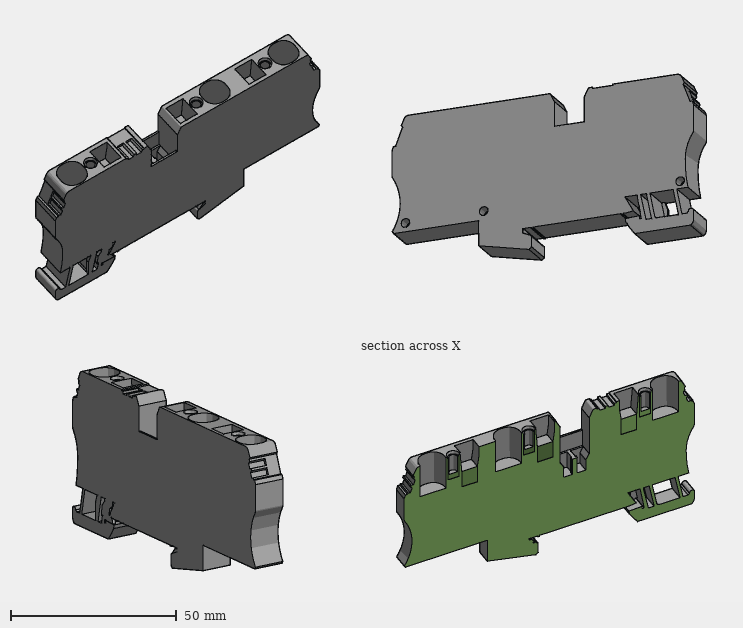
import cadquery as cq
import math

WIDTH = 10.0
HALF_WIDTH = WIDTH / 2
HALF_LENGTH = 49.5
TOP = 24.8
FOOT_BOTTOM = -24.8

SHOULDER_TOP = 14.1
WAIST_TOP = 5.4
LEDGE = -12.4
RAIL_FACE = -17.6
CLIP_TOP = -20.7

END_RADIUS = 1.7
NOTCH_TOP_RADIUS = 0.5
HOOK_RADIUS = 0.6
WAIST_RADIUS = 1.5

MARKER_RECESS = 0.4
MARKER_FACE_TOP = (46.1, 21.2)
MARKER_FACE_BOTTOM = (48.4, 15.4)
GROOVE_START_X = -0.6
GROOVE_WIDTH = 2.2
GROOVE_DEPTH = 0.8
GROOVE_TAPER = 0.5
GROOVE_PITCH = 3.1
END_GROOVE_PITCH = 2.9
FIRST_TOP_GROOVE_Y = -17.9
FIRST_END_GROOVE = 1.8

NOTCH_LEFT = -3.8
NOTCH_RIGHT = -13.6
NOTCH_FLOOR = 14.0
NOTCH_CHAMFER_Y = 1.4
NOTCH_CHAMFER_Z = 2.8
NOTCH_MIDDLE = (NOTCH_LEFT + NOTCH_RIGHT) / 2
MOUTH_WIDTH_X = 8.7
MOUTH_DEPTH = 5.9
SHAFT_WIDTH_X = 7.5
SHAFT_DEPTH = 5.9
SHAFT_TAPER_DEPTH = 2.0
SHAFT_TAPER = 1.2
SHAFT_PARTITION = 1.2
KEY_WIDTH_X = 1.8
KEY_HEIGHT = 0.3

POLES = [(39.6, -1), (13.9, -1), (-39.6, 1)]
SLEEVE_OFFSET = 6.9
POCKET_OFFSET = 12.5

ENTRY_X = 9.0
ENTRY_Y = 8.7
ENTRY_CORNER = 3.9
ENTRY_DEPTH = 11.9

POCKET_X = 7.3
POCKET_CENTRE_X = 0.1
POCKET_Y = 6.3
POCKET_STRAIGHT_DEPTH = 3.2
PUSHER_DEPTH = 7.4
PUSHER_HEIGHT = 5.9
POCKET_TAPER = 0.6

SLEEVE_MOUTH_RADIUS = 2.1
SLEEVE_RADIUS = 1.8
SLEEVE_BORE_RADIUS = 1.4
SLEEVE_BORE_DEPTH = 5.9
SLEEVE_TOP_DEPTH = 1.0
SLEEVE_LENGTH = 7.9

LOCATING_HOLES_Y = [45.1, 19.4, -45.1]
LOCATING_HOLE_Z = -10.0
LOCATING_HOLE_RADIUS = 1.4
LOCATING_HOLE_DEPTH = 4.0

HOOK_TIP = (3.7, -20.3)
HOOK_ROOT = (6.7, -18.9)
HOOK_LIP_SETBACK = 0.4
WEB_THICKNESS = 1.0
RAIL_RIBS_Y = [3.6, -26.0]
RAIL_RIB_WIDTH = 0.6
RAIL_RIB_HEIGHT = 0.3


def across(points, x_start=-HALF_WIDTH, x_end=HALF_WIDTH):
    """Closed (Y, Z) polygon extruded along X."""
    plane = cq.Workplane("YZ", origin=(x_start, 0, 0))
    return plane.polyline(points).close().extrude(x_end - x_start)


def box(centre_x, centre_y, top, size_x, size_y, depth):
    """Upright block given by its top face and depth."""
    return cq.Workplane("XY", origin=(centre_x, centre_y, top - depth)).rect(size_x, size_y).extrude(depth)


def make_block():
    """Main outline, with waisted ends, bridge notch, rail hook and clip slit."""
    return (
        cq.Workplane("YZ", origin=(-HALF_WIDTH, 0, 0))
        .moveTo(45.1, TOP)
        .lineTo(46.5, 21.8)
        .lineTo(*MARKER_FACE_TOP)
        .lineTo(*MARKER_FACE_BOTTOM)
        .lineTo(49.0, MARKER_FACE_BOTTOM[1])
        .lineTo(HALF_LENGTH, SHOULDER_TOP)
        .lineTo(HALF_LENGTH, WAIST_TOP)
        .threePointArc((46.9, -3.4), (49.4, -12.2))
        .lineTo(49.0, -12.9)
        .lineTo(21.1, -12.9)
        .lineTo(21.1, -21.0)
        .lineTo(4.6, -24.7)
        .lineTo(HOOK_TIP[0], -24.0)
        .lineTo(*HOOK_TIP)
        .lineTo(*HOOK_ROOT)
        .lineTo(HOOK_ROOT[0], RAIL_FACE)
        .lineTo(-27.4, RAIL_FACE)
        .lineTo(-29.7, -17.3)
        .lineTo(-26.95, LEDGE)
        .lineTo(-47.7, LEDGE)
        .threePointArc((-47.0, -7.7), (-46.8, -3.2))
        .threePointArc((-47.5, 1.4), (-HALF_LENGTH, WAIST_TOP))
        .lineTo(-HALF_LENGTH, SHOULDER_TOP)
        .lineTo(-49.0, MARKER_FACE_BOTTOM[1])
        .lineTo(-MARKER_FACE_BOTTOM[0], MARKER_FACE_BOTTOM[1])
        .lineTo(-MARKER_FACE_TOP[0], MARKER_FACE_TOP[1])
        .lineTo(-46.5, 21.8)
        .lineTo(-45.1, TOP)
        .lineTo(-22.9, TOP)
        .lineTo(-22.9, TOP - MARKER_RECESS)
        .lineTo(-16.2, TOP - MARKER_RECESS)
        .lineTo(-16.2, TOP)
        .lineTo(NOTCH_RIGHT - NOTCH_CHAMFER_Y, TOP)
        .lineTo(NOTCH_RIGHT, TOP - NOTCH_CHAMFER_Z)
        .lineTo(NOTCH_RIGHT, NOTCH_FLOOR)
        .lineTo(NOTCH_LEFT, NOTCH_FLOOR)
        .lineTo(NOTCH_LEFT, TOP - NOTCH_CHAMFER_Z)
        .lineTo(NOTCH_LEFT + NOTCH_CHAMFER_Y, TOP)
        .close()
        .extrude(WIDTH)
    )


def round_edges(body):
    """Round the top corners of the ends and the notch, the rail hook and the edges above the waists."""
    rounded = [
        (45.1, TOP, END_RADIUS), (-45.1, TOP, END_RADIUS),
        (NOTCH_LEFT + NOTCH_CHAMFER_Y, TOP, NOTCH_TOP_RADIUS),
        (NOTCH_RIGHT - NOTCH_CHAMFER_Y, TOP, NOTCH_TOP_RADIUS),
        (*HOOK_TIP, HOOK_RADIUS),
        (HALF_LENGTH, WAIST_TOP, WAIST_RADIUS), (-HALF_LENGTH, WAIST_TOP, WAIST_RADIUS),
    ]
    for y, z, radius in rounded:
        body = body.edges(cq.selectors.NearestToPointSelector((0, y, z))).fillet(radius)
    return body


def make_rail_clip():
    """Sprung clip bar hanging from three slanted legs."""
    bar = (
        cq.Workplane("YZ", origin=(-HALF_WIDTH, 0, 0))
        .moveTo(-27.0, -19.4)
        .lineTo(-31.7, -19.2)
        .lineTo(-31.7, -20.1)
        .lineTo(-32.4, -20.1)
        .lineTo(-32.4, CLIP_TOP)
        .lineTo(-47.3, CLIP_TOP)
        .lineTo(-47.8, -20.2)
        .threePointArc((-48.6, -19.3), (-HALF_LENGTH, -20.2))
        .lineTo(-HALF_LENGTH, -22.9)
        .threePointArc((-49.2, -24.0), (-48.45, FOOT_BOTTOM))
        .lineTo(-30.1, FOOT_BOTTOM)
        .lineTo(-28.3, -22.4)
        .lineTo(-27.2, -20.6)
        .close()
        .extrude(WIDTH)
    )
    legs = [
        [(-30.9, LEDGE), (-32.1, LEDGE), (-33.9, CLIP_TOP), (-32.4, CLIP_TOP)],
        [(-34.0, LEDGE), (-35.2, LEDGE), (-36.8, -20.2), (-37.2, CLIP_TOP), (-35.7, CLIP_TOP)],
        [(-42.8, LEDGE), (-44.0, LEDGE), (-45.7, CLIP_TOP), (-44.5, CLIP_TOP)],
    ]
    for leg in legs:
        bar = bar.union(across(leg))
    return bar


def make_webs():
    """Thin webs on the +X side that stiffen the clip legs, and a lip set back inside the rail hook."""
    web_start = HALF_WIDTH - WEB_THICKNESS
    foot_web = across([
        (-27.9, LEDGE), (-30.9, LEDGE), (-32.4, -19.1), (-27.6, -19.3), (-28.1, -17.8),
        (-29.8, -16.8), (-29.3, -14.9), (-27.9, -13.8),
    ], web_start)
    first_leg_web = across([
        (-32.1, -13.1), (-33.5, -14.9), (-33.9, -18.1), (-33.3, -18.1),
    ], web_start)
    second_leg_web = across([
        (-35.2, LEDGE), (-36.2, LEDGE), (-37.2, -14.9), (-37.2, CLIP_TOP), (-36.9, CLIP_TOP),
    ], web_start)
    hook_lip = across([
        HOOK_ROOT, (HOOK_ROOT[0], -17.9), (6.0, -17.9), (4.3, -20.0),
    ], -HALF_WIDTH + HOOK_LIP_SETBACK)
    return foot_web.union(first_leg_web).union(second_leg_web).union(hook_lip)


def cut_marker_grooves(body):
    """Pairs of grooves, open to the +X side, in the top recess and both end slopes."""
    face_z = TOP - MARKER_RECESS
    for i in range(2):
        groove_y = FIRST_TOP_GROOVE_Y - i * GROOVE_PITCH
        y_low = groove_y - GROOVE_WIDTH / 2
        y_high = groove_y + GROOVE_WIDTH / 2
        z_low = face_z - GROOVE_DEPTH
        body = body.cut(across([
            (y_low, z_low), (y_high - GROOVE_TAPER, z_low), (y_high, face_z), (y_high, TOP), (y_low, TOP),
        ], GROOVE_START_X))

    run_y = MARKER_FACE_BOTTOM[0] - MARKER_FACE_TOP[0]
    run_z = MARKER_FACE_BOTTOM[1] - MARKER_FACE_TOP[1]
    length = math.hypot(run_y, run_z)
    along = (run_y / length, run_z / length)
    outward = (-along[1], along[0])
    for end in (1, -1):
        for i in range(2):
            centre = FIRST_END_GROOVE + i * END_GROOVE_PITCH
            corners = []
            half = GROOVE_WIDTH / 2
            groove = [(GROOVE_TAPER - half, -1), (half, -1), (half, 1), (-half, 1), (-half, 0)]
            for step, rise in groove:
                distance = centre + step
                y = MARKER_FACE_TOP[0] + along[0] * distance + outward[0] * rise * GROOVE_DEPTH
                z = MARKER_FACE_TOP[1] + along[1] * distance + outward[1] * rise * GROOVE_DEPTH
                corners.append((end * y, z))
            body = body.cut(across(corners, GROOVE_START_X))
    return body


def make_bridge_shaft(side):
    """Tapered shaft below the notch mouth on one side of its middle, keyed at the partition."""
    inner = SHAFT_PARTITION / 2
    outer = (NOTCH_LEFT - NOTCH_RIGHT) / 2
    top = NOTCH_FLOOR - MOUTH_DEPTH
    bottom = top - SHAFT_DEPTH
    profile = [
        (inner, top), (outer, top), (outer - SHAFT_TAPER, top - SHAFT_TAPER_DEPTH),
        (outer - SHAFT_TAPER, bottom), (inner, bottom),
    ]
    points = [(NOTCH_MIDDLE + side * y, z) for y, z in profile]
    key_y = NOTCH_MIDDLE + side * (inner + KEY_HEIGHT / 2)
    key = box(0, key_y, top, KEY_WIDTH_X, KEY_HEIGHT, SHAFT_DEPTH)
    return across(points, -SHAFT_WIDTH_X / 2, SHAFT_WIDTH_X / 2).cut(key)


def make_conductor_entry(y):
    """Deep entry with generously rounded corners."""
    entry = box(0, y, TOP, ENTRY_X, ENTRY_Y, ENTRY_DEPTH)
    return entry.edges("|Z").fillet(ENTRY_CORNER)


def pocket_centre(y, side):
    """Y of the pusher pocket that belongs to the conductor entry at y."""
    return y + side * POCKET_OFFSET


def make_pusher_pocket(y, side):
    """Pocket with a wall tapering from the top near the sleeve and a part-tapered wall opposite."""
    near = -POCKET_Y / 2
    far = POCKET_Y / 2
    pusher_top = TOP - PUSHER_DEPTH
    profile = [
        (near, TOP), (far, TOP), (far, TOP - POCKET_STRAIGHT_DEPTH), (far - POCKET_TAPER, pusher_top),
        (far - POCKET_TAPER, pusher_top - PUSHER_HEIGHT), (near + POCKET_TAPER, pusher_top - PUSHER_HEIGHT),
        (near + POCKET_TAPER, pusher_top),
    ]
    points = [(pocket_centre(y, side) + side * step, z) for step, z in profile]
    return across(points, POCKET_CENTRE_X - POCKET_X / 2, POCKET_CENTRE_X + POCKET_X / 2)


def make_pusher(y, side):
    """Pusher block filling the straight lower part of its pocket."""
    length = POCKET_Y - 2 * POCKET_TAPER
    return box(POCKET_CENTRE_X, pocket_centre(y, side), TOP - PUSHER_DEPTH, POCKET_X, length, PUSHER_HEIGHT)


def make_sleeve_seat(y, side):
    """Countersunk bore that holds a test sleeve."""
    bottom = SLEEVE_TOP_DEPTH + SLEEVE_LENGTH
    profile = [
        (0, 0), (SLEEVE_MOUTH_RADIUS, 0), (SLEEVE_RADIUS, -SLEEVE_TOP_DEPTH),
        (SLEEVE_RADIUS, -bottom), (0, -bottom),
    ]
    seat = cq.Workplane("XZ").polyline(profile).close().revolve(360, (0, 0), (0, 1))
    return seat.translate((0, y + side * SLEEVE_OFFSET, TOP))


def make_sleeve(y, side):
    """Round test sleeve with a blind bore."""
    return (
        cq.Workplane("XY", origin=(0, y + side * SLEEVE_OFFSET, TOP - SLEEVE_TOP_DEPTH - SLEEVE_LENGTH))
        .circle(SLEEVE_RADIUS)
        .extrude(SLEEVE_LENGTH)
        .faces(">Z")
        .workplane()
        .hole(2 * SLEEVE_BORE_RADIUS, SLEEVE_BORE_DEPTH)
    )


def make_housing():
    """Housing with its rail foot, marker grooves, bridge shafts and terminal openings."""
    body = round_edges(make_block()).union(make_rail_clip()).union(make_webs())
    for y in RAIL_RIBS_Y:
        body = body.union(box(0, y, RAIL_FACE, WIDTH, RAIL_RIB_WIDTH, RAIL_RIB_HEIGHT))
    body = cut_marker_grooves(body)
    mouth_length = NOTCH_LEFT - NOTCH_RIGHT
    body = body.cut(box(0, NOTCH_MIDDLE, NOTCH_FLOOR, MOUTH_WIDTH_X, mouth_length, MOUTH_DEPTH))
    for side in (1, -1):
        body = body.cut(make_bridge_shaft(side))
    for y, side in POLES:
        body = body.cut(make_conductor_entry(y))
        body = body.cut(make_sleeve_seat(y, side))
        body = body.cut(make_pusher_pocket(y, side))
    locating_holes = (
        cq.Workplane("YZ", origin=(-HALF_WIDTH, 0, 0))
        .pushPoints([(y, LOCATING_HOLE_Z) for y in LOCATING_HOLES_Y])
        .circle(LOCATING_HOLE_RADIUS)
        .extrude(LOCATING_HOLE_DEPTH)
    )
    return body.cut(locating_holes)


housing = make_housing()
pushers = [make_pusher(y, side).val() for y, side in POLES]
sleeves = [make_sleeve(y, side).val() for y, side in POLES]

result = cq.Compound.makeCompound([housing.val(), *pushers, *sleeves])